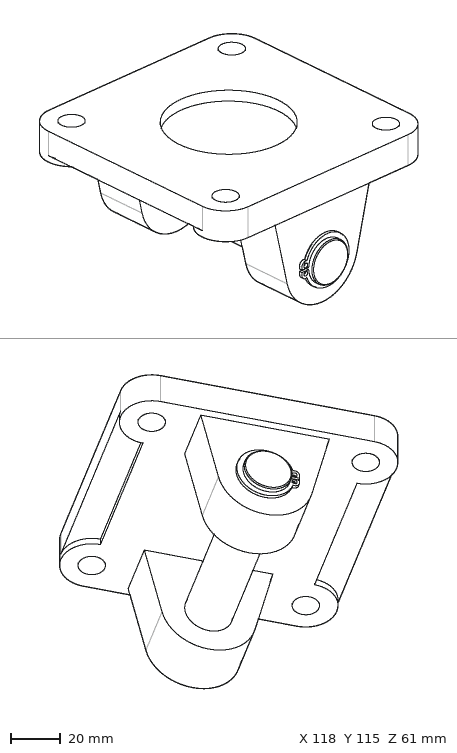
import cadquery as cq
import math

plate_side = 115.0
plate_thickness = 14.0
corner_radius = 13.0
hole_diameter = 11.0
hole_spacing = 89.2
pocket_diameter = 55.0
pocket_depth = 5.0

relief_depth = 3.0
relief_length = (plate_side - hole_spacing) / 2
rail_width = 2 * corner_radius

lug_inner_x = 30.0
lug_thickness = 24.1
lug_base_half_width = 26.8
lug_radius = 20.0
total_height = 61.0
pin_z = lug_radius - total_height

pin_diameter = 20.0
pin_length = 118.0
pin_chamfer = 0.5

ring_inner_diameter = 18.0
ring_radius = 12.0
ring_offset = 0.5
ring_thickness = 1.4
ring_end_distance = 2.4
ear_radius = 2.1
ear_y = -11.6
ear_z = 1.9
ear_hole_diameter = 2.0
ring_gap = 1.1


def make_plate():
    """Rounded square plate with corner holes and a round top pocket."""
    plate = (
        cq.Workplane("XY")
        .box(plate_side, plate_side, plate_thickness, centered=(True, True, False))
        .translate((0, 0, -plate_thickness))
        .edges("|Z")
        .fillet(corner_radius)
    )
    return cut_end_reliefs(plate).cut(plate_openings())


def cut_end_reliefs(plate):
    """Lower the plate edge at both Y ends, leaving two rails with round ends."""
    thin_plate = plate.intersect(
        cq.Workplane("XY")
        .workplane(offset=relief_depth - plate_thickness)
        .rect(plate_side, plate_side)
        .extrude(plate_thickness - relief_depth)
    )
    pad_bottom = cq.Workplane("XY").workplane(offset=-plate_thickness)
    rail_x = (plate_side - rail_width) / 2
    rails = (
        pad_bottom.pushPoints([(-rail_x, 0), (rail_x, 0)])
        .slot2D(plate_side, rail_width, 90)
        .extrude(relief_depth)
    )
    web = pad_bottom.rect(2 * rail_x, plate_side - 2 * relief_length).extrude(relief_depth)
    return thin_plate.union(rails).union(web)


def plate_openings():
    """Volumes of the corner holes and the top pocket."""
    holes = (
        cq.Workplane("XY")
        .rect(hole_spacing, hole_spacing, forConstruction=True)
        .vertices()
        .circle(hole_diameter / 2)
        .extrude(-plate_thickness)
    )
    pocket = cq.Workplane("XY").circle(pocket_diameter / 2).extrude(-pocket_depth)
    return holes.union(pocket)


def make_lug(start_x):
    """Tapered lug whose straight sides run tangent into the round lower end."""
    base_rise = -plate_thickness - pin_z
    base_distance = math.hypot(lug_base_half_width, base_rise)
    tangent_angle = math.atan2(base_rise, lug_base_half_width) - math.acos(lug_radius / base_distance)
    tangent_y = lug_radius * math.cos(tangent_angle)
    tangent_z = pin_z + lug_radius * math.sin(tangent_angle)
    return (
        cq.Workplane("YZ", origin=(start_x, 0, 0))
        .moveTo(-lug_base_half_width, -plate_thickness)
        .lineTo(-tangent_y, tangent_z)
        .threePointArc((0, -total_height), (tangent_y, tangent_z))
        .lineTo(lug_base_half_width, -plate_thickness)
        .close()
        .extrude(lug_thickness)
    )


def make_pin():
    """Pin through both lugs, chamfered at its ends."""
    return (
        cq.Workplane("YZ", origin=(-pin_length / 2, 0, pin_z))
        .circle(pin_diameter / 2)
        .extrude(pin_length)
        .faces("<X or >X")
        .chamfer(pin_chamfer)
    )


def make_ring(start_x):
    """Eccentric retaining ring with two drilled ears either side of its gap."""
    face = cq.Workplane("YZ", origin=(start_x, 0, pin_z))
    ear_centers = [(ear_y, -ear_z), (ear_y, ear_z)]
    ring = face.center(ring_offset, 0).circle(ring_radius).extrude(ring_thickness)
    ears = face.pushPoints(ear_centers).circle(ear_radius).extrude(ring_thickness)
    ear_ends = face.center(ear_y, 0).rect(2 * ear_radius, 2 * ear_z).extrude(ring_thickness)
    bore = face.circle(ring_inner_diameter / 2).extrude(ring_thickness)
    ear_holes = face.pushPoints(ear_centers).circle(ear_hole_diameter / 2).extrude(ring_thickness)
    gap = face.center(ear_y, 0).rect(ring_inner_diameter, ring_gap).extrude(ring_thickness)
    return ring.union(ears).union(ear_ends).cut(bore).cut(ear_holes).cut(gap)


result = make_plate()
for lug_x in (-lug_inner_x - lug_thickness, lug_inner_x):
    result = result.union(make_lug(lug_x))

ring_x = pin_length / 2 - ring_end_distance
for ring_start in (-ring_x, ring_x - ring_thickness):
    result = result.union(make_ring(ring_start))

result = result.union(make_pin())